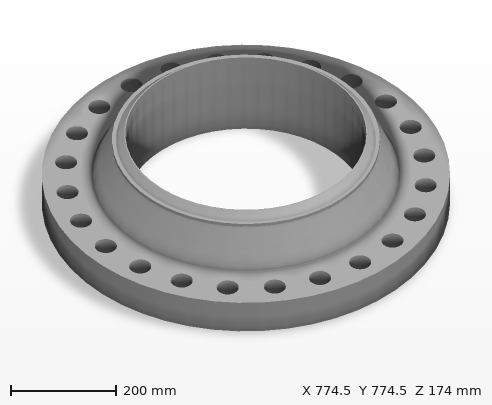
import cadquery as cq

flange_diameter = 774.5
flange_thickness = 70.0
raised_face_diameter = 584.0
raised_face_height = 6.0

total_height = 174.0
bore_diameter = 457.0
hub_base_diameter = 586.0
hub_base_fillet = 3.0
hub_top_diameter = 508.0
weld_band_height = 7.0
bevel_height = 14.0
bevel_base_diameter = 492.0
weld_land_width = 2.0

bolt_count = 24
bolt_circle_diameter = 685.5
bolt_hole_diameter = 42.0

flange_bottom = raised_face_height
flange_top = flange_bottom + flange_thickness
bevel_bottom = total_height - bevel_height
taper_top = bevel_bottom - weld_band_height

bore_radius = bore_diameter / 2
flange_radius = flange_diameter / 2
raised_face_radius = raised_face_diameter / 2
hub_base_radius = hub_base_diameter / 2
hub_top_radius = hub_top_diameter / 2
bevel_base_radius = bevel_base_diameter / 2
weld_land_radius = bore_radius + weld_land_width


def make_flange_body():
    """Revolve the ring section, from the raised face up to the weld bevel."""
    section = [
        (bore_radius, 0),
        (raised_face_radius, 0),
        (raised_face_radius, flange_bottom),
        (flange_radius, flange_bottom),
        (flange_radius, flange_top),
        (hub_base_radius, flange_top),
        (hub_top_radius, taper_top),
        (hub_top_radius, bevel_bottom),
        (bevel_base_radius, bevel_bottom),
        (weld_land_radius, total_height),
        (bore_radius, total_height),
    ]
    body = cq.Workplane("XZ").polyline(section).close().revolve(360, (0, 0), (0, 1))
    disc_top_face = body.faces("+Z").faces("<Z")
    hub_base_edge = disc_top_face.edges(cq.selectors.RadiusNthSelector(0))
    return hub_base_edge.fillet(hub_base_fillet)


def make_bolt_holes():
    """Cylinders through the flange disc, the first one on the +X axis."""
    return (
        cq.Workplane("XY")
        .workplane(offset=flange_bottom)
        .polarArray(bolt_circle_diameter / 2, 0, 360, bolt_count)
        .circle(bolt_hole_diameter / 2)
        .extrude(flange_thickness)
    )


result = make_flange_body().cut(make_bolt_holes())